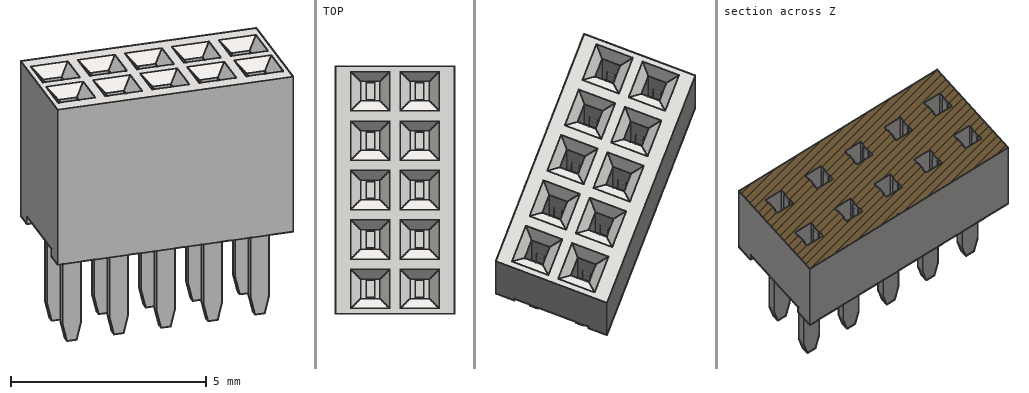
import cadquery as cq

pitch = 1.27
row_count = 2
contacts_per_row = 5

overall_height = 7.0
body_width = 3.05
body_length = 6.35
body_height = 4.4
foot_height = 0.22
foot_width = 0.51
body_bottom = overall_height - body_height
recess_width = body_width - 2 * foot_width

entry_size = 1.0
well_size = 0.5
entry_depth = 0.295
well_depth = 3.0
well_floor = overall_height - well_depth

contact_thickness = 0.22
tail_width = 0.5
tip_width = 0.26
tip_length = 0.5
base_rise = 0.2
contact_base = well_floor + base_rise
fork_gap = 0.435
fork_width = 0.665
fork_height = 1.0
fork_top = contact_base + fork_height
lead_in_height = 0.2


def make_housing():
    """Plain block with a full-length recess between the two feet."""
    block = cq.Workplane("XY").workplane(offset=body_bottom).box(
        body_width, body_length, body_height, centered=(True, True, False)
    )
    recess = cq.Workplane("XY").workplane(offset=body_bottom).box(
        recess_width, body_length, foot_height, centered=(True, True, False)
    )
    return block.cut(recess)


def make_cavity():
    """Funnel and well that receive one mating pin."""
    funnel = (
        cq.Workplane("XY")
        .workplane(offset=overall_height)
        .rect(entry_size, entry_size)
        .workplane(offset=-entry_depth)
        .rect(well_size, well_size)
        .loft(ruled=True)
    )
    well = cq.Workplane("XY").workplane(offset=well_floor).box(
        well_size, well_size, well_depth - entry_depth, centered=(True, True, False)
    )
    return funnel.union(well)


def make_contact():
    """Flat contact whose fork tines project slightly from the well walls."""
    right_half = [
        (tip_width / 2, 0),
        (tail_width / 2, tip_length),
        (tail_width / 2, well_floor),
        (fork_width / 2, well_floor),
        (fork_width / 2, fork_top),
        (well_size / 2, fork_top),
        (fork_gap / 2, fork_top - lead_in_height),
        (fork_gap / 2, contact_base),
    ]
    left_half = [(-y, z) for y, z in reversed(right_half)]
    return (
        cq.Workplane("YZ")
        .polyline(right_half + left_half)
        .close()
        .extrude(contact_thickness / 2, both=True)
    )


def at_every_position(shape):
    """Copies of a shape at all contact positions."""
    return [
        shape.translate(
            (
                (row - (row_count - 1) / 2) * pitch,
                (place - (contacts_per_row - 1) / 2) * pitch,
                0,
            )
        )
        for row in range(row_count)
        for place in range(contacts_per_row)
    ]


result = make_housing()
for cavity in at_every_position(make_cavity()):
    result = result.cut(cavity)
for contact in at_every_position(make_contact()):
    result = result.union(contact)